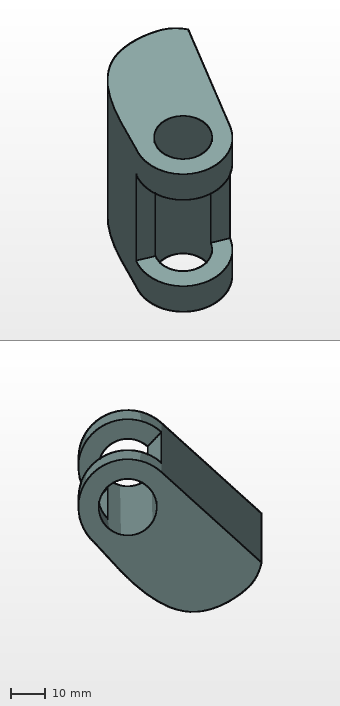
import cadquery as cq
import math

height = 60.0
lug_radius = 14.4
hole_diameter = 16.9
lug_thickness = 11.2
overall_length = 56.45
overall_depth = 30.0

back_face_length = 39.9
belly_x = -17.7
nose_y = 5.7
shoulder = (-35.2, -10.2)
flank_angle = 4.5
corner_angle = 60.0


def direction(angle):
    """Unit vector at an angle in degrees from +X."""
    radians = math.radians(angle)
    return (math.cos(radians), math.sin(radians))


corner = (-back_face_length, lug_radius)
belly = (belly_x, lug_radius - overall_depth)
nose = (lug_radius - overall_length, nose_y)

profile = (
    cq.Workplane("XY")
    .moveTo(*corner)
    .lineTo(0, lug_radius)
    .threePointArc((lug_radius, 0), (0, -lug_radius))
    .spline(
        [belly, shoulder, nose, corner],
        tangents=[direction(180 + flank_angle), direction(corner_angle)],
        includeCurrent=True,
    )
    .close()
)
body = profile.extrude(height)

gap_height = height - 2 * lug_thickness
gap = (
    cq.Workplane("XY", origin=(0, 0, lug_thickness))
    .box(lug_radius, 2 * lug_radius, gap_height, centered=(False, True, False))
)

pin_hole = cq.Workplane("XY").circle(hole_diameter / 2).extrude(height)

result = body.cut(gap).cut(pin_hole)